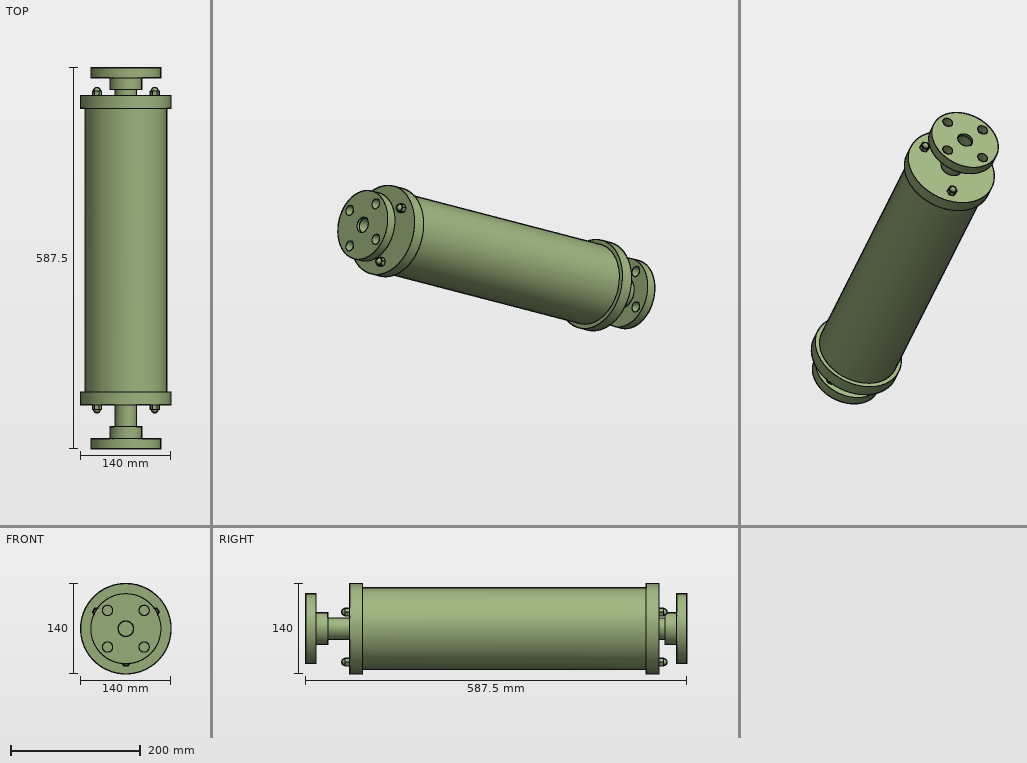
import cadquery as cq

TOTAL_LENGTH = 587.5
FRONT_END = -TOTAL_LENGTH / 2
BACK_END = TOTAL_LENGTH / 2

BODY_DIAMETER = 126.5
PLATE_DIAMETER = 140.0
PLATE_THICKNESS = 20.0
FRONT_PLATE_FACE = -226.0
BACK_PLATE_FACE = 251.0

PIPE_DIAMETER = 33.5
BORE_DIAMETER = 23.5
BORE_MOUTH_DIAMETER = 24.0
BORE_MOUTH_DEPTH = 4.5
HUB_DIAMETER = 49.5
FLANGE_DIAMETER = 108.0
FLANGE_THICKNESS = 16.0
HUB_END_OFFSET = 34.0

FLANGE_HOLE_DIAMETER = 16.0
FLANGE_HOLE_CIRCLE = 80.0
FLANGE_HOLE_COUNT = 4

NUT_COUNT = 3
NUT_SIDES = 6
NUT_CIRCLE = 103.0
NUT_ACROSS_CORNERS = 14.0
NUT_HEIGHT = 7.0
DOME_DIAMETER = 10.5


def section_at(y, direction):
    """Plane across the Y axis at y, facing along direction (+1 or -1), with its local X along Z."""
    return cq.Workplane(cq.Plane(origin=(0, y, 0), xDir=(0, 0, 1), normal=(0, direction, 0)))


def cylinder(y_start, y_end, diameter):
    """Solid cylinder on the Y axis between two positions, y_start being the lower one."""
    return section_at(y_start, 1).circle(diameter / 2).extrude(y_end - y_start)


def vessel():
    """Solid cylindrical body with a larger plate at each end."""
    body = cylinder(FRONT_PLATE_FACE, BACK_PLATE_FACE, BODY_DIAMETER)
    front_plate = cylinder(FRONT_PLATE_FACE, FRONT_PLATE_FACE + PLATE_THICKNESS, PLATE_DIAMETER)
    back_plate = cylinder(BACK_PLATE_FACE - PLATE_THICKNESS, BACK_PLATE_FACE, PLATE_DIAMETER)
    return body.union(front_plate).union(back_plate)


def connection(plate_face, end_face, outward):
    """Bored pipe with a hub and a drilled flange, reaching from an end plate to the end of the part."""
    pipe_length = abs(end_face - plate_face)
    face = section_at(end_face, -outward)
    flange = face.circle(FLANGE_DIAMETER / 2).extrude(FLANGE_THICKNESS)
    holes = (
        face.polarArray(FLANGE_HOLE_CIRCLE / 2, 180 / FLANGE_HOLE_COUNT, 360, FLANGE_HOLE_COUNT)
        .circle(FLANGE_HOLE_DIAMETER / 2)
        .extrude(FLANGE_THICKNESS)
    )
    hub = face.circle(HUB_DIAMETER / 2).extrude(HUB_END_OFFSET)
    pipe = face.circle(PIPE_DIAMETER / 2).extrude(pipe_length)
    mouth = face.circle(BORE_MOUTH_DIAMETER / 2).extrude(BORE_MOUTH_DEPTH)
    bore = face.circle(BORE_DIAMETER / 2).extrude(pipe_length)
    return flange.cut(holes).union(hub).union(pipe).cut(mouth).cut(bore)


def domed_nuts(plate_face, outward):
    """Ring of hexagon nuts with hemispherical caps; one nut lies straight below the axis."""
    face = section_at(plate_face, outward)
    nut = face.transformed(rotate=(0, 0, 90)).polygon(NUT_SIDES, NUT_ACROSS_CORNERS).extrude(NUT_HEIGHT)
    dome = face.workplane(offset=NUT_HEIGHT).sphere(DOME_DIAMETER / 2)
    lowest_nut = nut.union(dome).translate((0, 0, -NUT_CIRCLE / 2))
    nuts = cq.Workplane("XZ")
    for index in range(NUT_COUNT):
        nuts = nuts.add(lowest_nut.rotate((0, 0, 0), (0, 1, 0), index * 360 / NUT_COUNT))
    return nuts


result = vessel()
for plate_face, end_face, outward in (
    (FRONT_PLATE_FACE, FRONT_END, -1),
    (BACK_PLATE_FACE, BACK_END, 1),
):
    result = result.union(connection(plate_face, end_face, outward))
    result = result.union(domed_nuts(plate_face, outward))